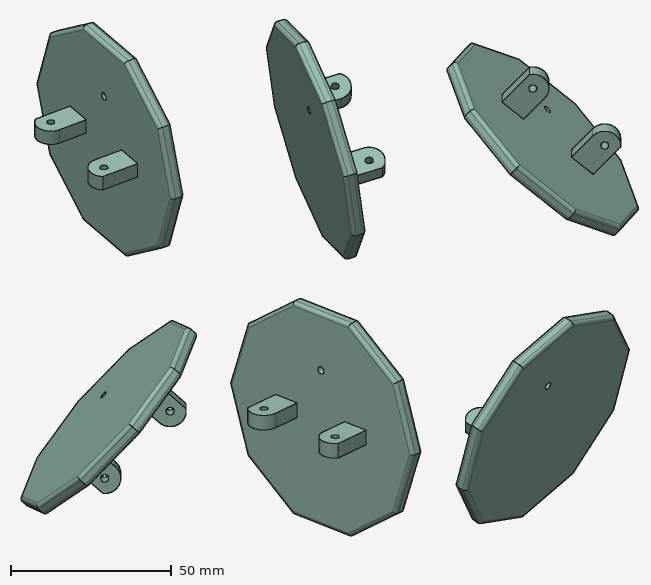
import cadquery as cq

plate_sides = 10
plate_diameter = 77.3
plate_thickness = 4.5
rim_fillet = 1.2

overall_depth = 19.4
lug_height = 5.0
lug_end_radius = 5.0
lug_outer_face_x = 19.0
pivot_x = 15.0
lug_tip_y = plate_thickness - overall_depth
pivot_y = lug_tip_y + lug_end_radius

hole_diameter = 2.5
hanging_hole_z = 17.0


def make_plate():
    """Regular decagon with both rims rounded and a hanging hole."""
    plate = (
        cq.Workplane("XZ")
        .polygon(plate_sides, plate_diameter)
        .extrude(-plate_thickness)
        .faces("<Y or >Y")
        .edges()
        .fillet(rim_fillet)
    )
    hanging_hole = (
        cq.Workplane("XZ")
        .center(0, hanging_hole_z)
        .circle(hole_diameter / 2)
        .extrude(-plate_thickness)
    )
    return plate.cut(hanging_hole)


def make_right_lug():
    """Lug with a round end, cut flat on its outer side, and a vertical pivot hole."""
    inner_face_x = pivot_x - lug_end_radius
    lug_width = lug_outer_face_x - inner_face_x
    mid_plane = cq.Workplane("XY")

    straight_part = (
        mid_plane.center(pivot_x, pivot_y / 2)
        .rect(2 * lug_end_radius, -pivot_y)
        .extrude(lug_height / 2, both=True)
    )
    round_end = (
        mid_plane.center(pivot_x, pivot_y)
        .circle(lug_end_radius)
        .extrude(lug_height / 2, both=True)
    )
    side_limits = (
        mid_plane.center(inner_face_x + lug_width / 2, lug_tip_y / 2)
        .rect(lug_width, -lug_tip_y)
        .extrude(lug_height / 2, both=True)
    )
    pivot_hole = (
        mid_plane.center(pivot_x, pivot_y)
        .circle(hole_diameter / 2)
        .extrude(lug_height / 2, both=True)
    )
    return straight_part.union(round_end).intersect(side_limits).cut(pivot_hole)


right_lug = make_right_lug()
left_lug = right_lug.mirror("YZ")
result = make_plate().union(right_lug).union(left_lug)